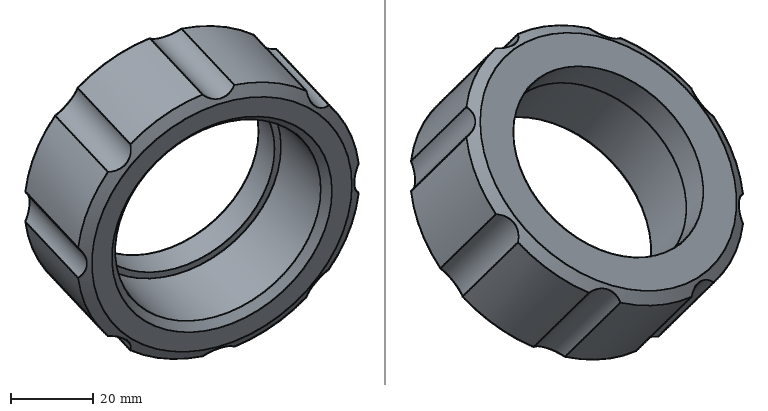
import cadquery as cq
import math

width = 31.0
flat_span = 77.5
bore_diameter = 53.2
recess_diameter = 56.7
lip_length = 8.4
mouth_chamfer = 2.0

flute_count = 8
flute_radius = 6.2
flute_half_arc = math.radians(45)
flute_half_width = flute_radius * math.sin(flute_half_arc)
flute_center = flat_span / 2 + flute_radius * math.cos(flute_half_arc)
outer_radius = math.hypot(flat_span / 2, flute_half_width)

chamfer_radial = 3.1
chamfer_axial = chamfer_radial * math.tan(math.radians(30))


def x_cylinder(radius, start, length):
    """Solid cylinder along X, beginning at x = start."""
    return cq.Workplane("YZ").workplane(offset=start).circle(radius).extrude(length)


def chamfered_blank():
    """Outer body revolved about X from its half profile."""
    half = width / 2
    face_radius = outer_radius - chamfer_radial
    profile = [
        (-half, 0),
        (-half, face_radius),
        (-half + chamfer_axial, outer_radius),
        (half - chamfer_axial, outer_radius),
        (half, face_radius),
        (half, 0),
    ]
    return cq.Workplane("XY").polyline(profile).close().revolve(360, (0, 0, 0), (1, 0, 0))


def flutes():
    """Cylindrical cutters evenly spaced around the rim."""
    return (
        cq.Workplane("YZ")
        .workplane(offset=-width / 2)
        .polarArray(flute_center, 0, 360, flute_count)
        .circle(flute_radius)
        .extrude(width)
    )


def mouth():
    """Cone that chamfers the +X end of the recess."""
    recess_radius = recess_diameter / 2
    start = width / 2 - mouth_chamfer
    return (
        cq.Workplane("YZ")
        .workplane(offset=start)
        .circle(recess_radius)
        .workplane(offset=mouth_chamfer)
        .circle(recess_radius + mouth_chamfer)
        .loft(ruled=True)
    )


bore = x_cylinder(bore_diameter / 2, -width / 2, width)
recess = x_cylinder(recess_diameter / 2, -width / 2 + lip_length, width - lip_length)

result = chamfered_blank().cut(flutes()).cut(bore).cut(recess).cut(mouth())